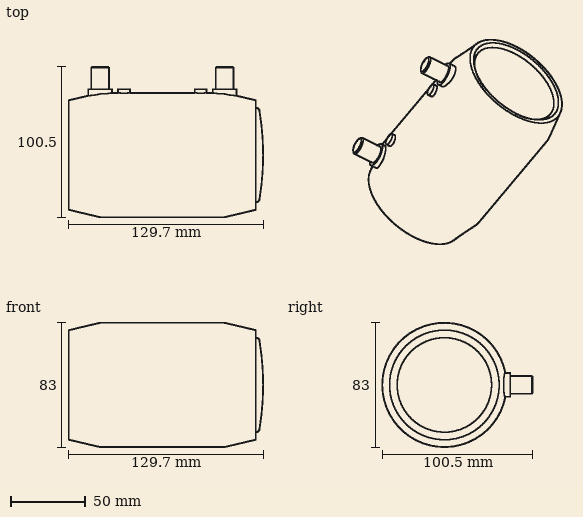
import cadquery as cq

sleeve_length = 124.8
sleeve_radius = 83.0 / 2
sleeve_end_radius = 73.2 / 2
taper_length = 20.9
bore_radius = 63.0 / 2
mouth_radius = 67.5 / 2
mouth_depth = mouth_radius - bore_radius

plug_start = sleeve_length / 2
plug_inner_radius = 56.3 / 2
dome_edge_radius = 58.0 / 2
plug_rounding = bore_radius - dome_edge_radius
dome_edge_x = sleeve_length + plug_rounding
dome_tip_x = 129.7
plug_wall = bore_radius - plug_inner_radius

terminal_inset = taper_length
terminal_radius = 12.0 / 2
terminal_top = 59.0
terminal_tip_chamfer = 0.9
collar_radius = 16.0 / 2
collar_top = 44.0
stud_inset = 36.8
stud_radius = 8.0 / 2
stud_top = collar_top
root_y = (bore_radius + sleeve_end_radius) / 2


def revolve_about_x(profile):
    return profile.close().revolve(360, (0, 0, 0), (1, 0, 0))


def make_sleeve():
    profile = (
        cq.Workplane("XY")
        .moveTo(0, mouth_radius)
        .lineTo(0, sleeve_end_radius)
        .lineTo(taper_length, sleeve_radius)
        .lineTo(sleeve_length - taper_length, sleeve_radius)
        .lineTo(sleeve_length, sleeve_end_radius)
        .lineTo(sleeve_length, bore_radius)
        .lineTo(mouth_depth, bore_radius)
    )
    return revolve_about_x(profile)


def dome_radius():
    """Radius of the sphere through the dome's edge circle and tip."""
    rise = dome_tip_x - dome_edge_x
    return (dome_edge_radius**2 + rise**2) / (2 * rise)


def make_plug():
    outer_sphere = dome_radius()
    inner_sphere = outer_sphere - plug_wall
    dome_center_x = dome_tip_x - outer_sphere

    def dome_x(sphere, radius):
        return dome_center_x + (sphere**2 - radius**2) ** 0.5

    mid_edge = dome_edge_radius / 2
    mid_inner = plug_inner_radius / 2
    profile = (
        cq.Workplane("XY")
        .moveTo(plug_start, plug_inner_radius)
        .lineTo(plug_start, bore_radius)
        .lineTo(sleeve_length, bore_radius)
        .radiusArc((dome_edge_x, dome_edge_radius), plug_rounding)
        .threePointArc((dome_x(outer_sphere, mid_edge), mid_edge), (dome_tip_x, 0))
        .lineTo(dome_tip_x - plug_wall, 0)
        .threePointArc(
            (dome_x(inner_sphere, mid_inner), mid_inner),
            (dome_x(inner_sphere, plug_inner_radius), plug_inner_radius),
        )
    )
    return revolve_about_x(profile)


def make_post(x, radius, top):
    """Round post standing on the sleeve, pointing along +Y."""
    height = top - root_y
    return cq.Workplane("XZ", origin=(x, root_y, 0)).circle(radius).extrude(-height)


def mirrored_positions(inset):
    return inset, sleeve_length - inset


result = make_sleeve().union(make_plug())

for x in mirrored_positions(terminal_inset):
    pin = make_post(x, terminal_radius, terminal_top)
    pin = pin.faces(">Y").chamfer(terminal_tip_chamfer)
    result = result.union(make_post(x, collar_radius, collar_top)).union(pin)

for x in mirrored_positions(stud_inset):
    result = result.union(make_post(x, stud_radius, stud_top))